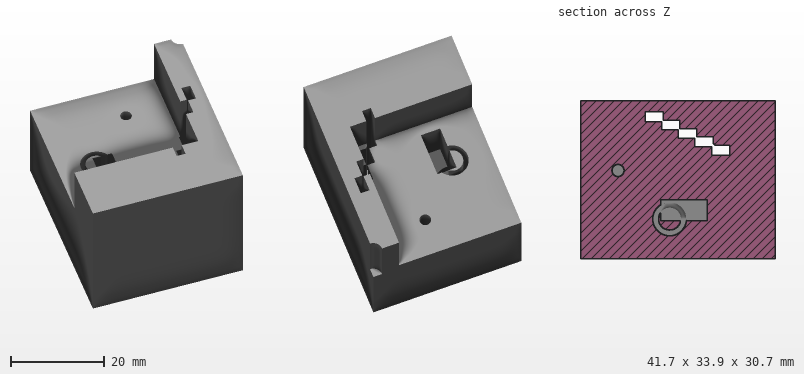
import cadquery as cq

LENGTH = 41.65
WIDTH = 33.9
HEIGHT = 30.7

STEP_LENGTH = 29.3
STEP_WIDTH = 28.02
FLOOR_Z = 19.32

SLOT_COUNT = 5
SLOT_LENGTH = 3.8
SLOT_WIDTH = 2.0
FIRST_SLOT_X = 13.82
FIRST_SLOT_Y = 29.5
LAST_SLOT_X = 28.05
LAST_SLOT_Y = 22.28
SLOT_PITCH_X = (LAST_SLOT_X - FIRST_SLOT_X) / (SLOT_COUNT - 1)
SLOT_PITCH_Y = (FIRST_SLOT_Y - LAST_SLOT_Y) / (SLOT_COUNT - 1)
CORNER_CHAMFER = 0.5

NOTCH_RADIUS = 2.0
NOTCH_FLOOR_Z = 17.82

HOLE_DIAMETER = 2.5
HOLE_X = 8.0
HOLE_Y = 18.95
HOLE_DEPTH = 8.33

RING_OUTER_DIAMETER = 7.1
PIN_DIAMETER = 4.85
RING_X = 19.05
RING_Y = 8.58
RING_DEPTH = 12.5

POCKET_LENGTH = 9.83
POCKET_WIDTH = 4.4
POCKET_X = 17.15
POCKET_Y = 8.25
POCKET_DEPTH = 10.4


def box_at(x, y, z, length, width, height):
    """Box whose lower front left corner is at (x, y, z)."""
    return cq.Workplane("XY").box(length, width, height, centered=False).translate((x, y, z))


def cylinder_at(x, y, z, diameter, height):
    """Upright cylinder whose base is centred at (x, y, z)."""
    return cq.Workplane("XY").circle(diameter / 2).extrude(height).translate((x, y, z))


def ring_groove():
    base_z = FLOOR_Z - RING_DEPTH
    outer = cylinder_at(RING_X, RING_Y, base_z, RING_OUTER_DIAMETER, RING_DEPTH)
    pin = cylinder_at(RING_X, RING_Y, base_z, PIN_DIAMETER, RING_DEPTH)
    return outer.cut(pin)


def slot_staircase():
    slots = cq.Workplane("XY")
    for i in range(SLOT_COUNT):
        slot_x = FIRST_SLOT_X + i * SLOT_PITCH_X
        slot_y = FIRST_SLOT_Y - i * SLOT_PITCH_Y
        slots = slots.union(box_at(slot_x, slot_y, 0, SLOT_LENGTH, SLOT_WIDTH, HEIGHT))
    return slots


def last_corner_chamfer():
    """Wedge joining the right wall of the fourth slot to the rear wall of the last slot."""
    wall_x = LAST_SLOT_X - SLOT_PITCH_X + SLOT_LENGTH
    wall_y = LAST_SLOT_Y + SLOT_WIDTH
    corner = (LAST_SLOT_X, LAST_SLOT_Y + SLOT_PITCH_Y)
    profile = [
        corner,
        (wall_x + CORNER_CHAMFER, corner[1]),
        (wall_x + CORNER_CHAMFER, wall_y),
        (wall_x, wall_y + CORNER_CHAMFER),
        (corner[0], wall_y + CORNER_CHAMFER),
    ]
    return cq.Workplane("XY").polyline(profile).close().extrude(HEIGHT)


def rear_left_notch():
    return cylinder_at(0, WIDTH, NOTCH_FLOOR_Z, 2 * NOTCH_RADIUS, HEIGHT - NOTCH_FLOOR_Z)


def step():
    return box_at(0, 0, FLOOR_Z, STEP_LENGTH, STEP_WIDTH, HEIGHT - FLOOR_Z)


def small_hole():
    return cylinder_at(HOLE_X, HOLE_Y, FLOOR_Z - HOLE_DEPTH, HOLE_DIAMETER, HOLE_DEPTH)


def pocket():
    base_z = FLOOR_Z - POCKET_DEPTH
    return box_at(POCKET_X, POCKET_Y, base_z, POCKET_LENGTH, POCKET_WIDTH, POCKET_DEPTH)


result = (
    box_at(0, 0, 0, LENGTH, WIDTH, HEIGHT)
    .cut(step())
    .cut(slot_staircase())
    .cut(last_corner_chamfer())
    .cut(rear_left_notch())
    .cut(small_hole())
    .cut(ring_groove())
    .cut(pocket())
)